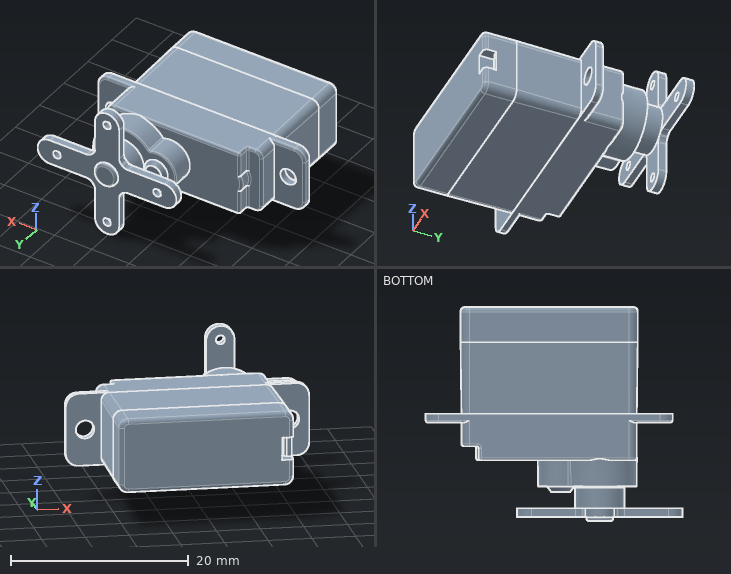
import cadquery as cq
import math


case_length = 19.97
case_width = 8.62
case_center_x = -5.7
corner_radius = 1.0
draft_inset = 0.1
bottom_y = -12.0
cover_top_y = -8.02
ledge_y = 3.68
case_top_y = 5.27
boss_top_y = 8.22
cover_edge_radius = 0.52

notch_length = 1.35
notch_width = 2.6
notch_depth = 1.5
trough_width = 0.52
trough_depth = 0.25

flange_length = 27.85
flange_thickness = 1.0
flange_corner_radius = 1.45
flange_hole_diameter = 2.08
flange_hole_spacing = 23.45
edge_radius = 0.3
step_length = 1.95
step_inner_radius = 0.2
rib_half_width = 1.05
rib_height = 0.3

main_boss_radius = 4.17
idler_boss_radius = 2.58
idler_x = -4.4
boss_taper = 0.5
boss_edge_radius = 0.15
neck_radius = 0.3
cone_base_radius = 1.53
cone_top_radius = 1.07
cone_height = 0.6

shaft_radius = 1.97
hub_radius = 2.8
hub_gap = 0.12
hub_height = 2.3
horn_thickness = 1.0
long_arm = 9.32
short_arm = 8.33
arm_width = 3.25
arm_fillet = 1.0
arm_hole_diameter = 1.0
arm_hole_offset = 6.7
screw_radius = 1.5
screw_projection = 0.45
screw_edge_radius = 0.3

upper_length = case_length - 2 * draft_inset
upper_width = case_width - 2 * draft_inset
upper_radius = corner_radius - draft_inset
upper_left_x = case_center_x - upper_length / 2
cover_right_x = case_center_x + case_length / 2
step_wall_x = upper_left_x + step_length
hub_bottom_y = boss_top_y + hub_gap
horn_bottom_y = hub_bottom_y + hub_height
horn_top_y = horn_bottom_y + horn_thickness
screw_top_y = horn_top_y + screw_projection


def plane_at(y, x=0):
    """Work plane at height y whose normal is +Y and whose local axes are X and -Z."""
    return cq.Workplane(cq.Plane(origin=(x, y, 0), xDir=(1, 0, 0), normal=(0, 1, 0)))


def disc(radius, y_low, y_high, x=0):
    """Cylinder along Y between two levels."""
    return plane_at(y_low, x).circle(radius).extrude(y_high - y_low)


def rounded_block(length, width, radius, y_low, y_high):
    """Block centred on the case with rounded edges along Y."""
    block = plane_at(y_low, case_center_x).rect(length, width).extrude(y_high - y_low)
    return block.edges("|Y").fillet(radius)


def box_between(x_range, y_range, width):
    """Box spanning the given X and Y ranges, centred on Z = 0."""
    length = x_range[1] - x_range[0]
    return plane_at(y_range[0], sum(x_range) / 2).rect(length, width).extrude(y_range[1] - y_range[0])


def make_cover():
    """Bottom cover with a wire notch at its +X end; the notch floor drops into a sloped trough."""
    cover = rounded_block(case_length, case_width, corner_radius, bottom_y, cover_top_y)
    cover = cover.faces("<Y").edges().fillet(cover_edge_radius)
    left = cover_right_x - notch_length
    floor = bottom_y + notch_depth
    notch = (
        cq.Workplane("XY")
        .moveTo(left, bottom_y)
        .lineTo(cover_right_x, bottom_y)
        .lineTo(cover_right_x, floor)
        .lineTo(left + trough_width + trough_depth, floor)
        .lineTo(left + trough_width, floor + trough_depth)
        .lineTo(left, floor + trough_depth)
        .close()
        .extrude(notch_width / 2, both=True)
    )
    return cover.cut(notch)


def make_middle_case():
    """Drafted block that shrinks from the cover outline to the top case outline."""
    height = -cover_top_y
    outline = plane_at(cover_top_y, case_center_x).sketch().rect(case_length, case_width)
    outline = outline.vertices().fillet(corner_radius).finalize()
    return outline.extrude(height, taper=math.degrees(math.atan(draft_inset / height)))


def make_rib():
    """Bulge of part-circular section on the step wall, rounded on top and flared at the ledge."""
    radius = (rib_half_width**2 + rib_height**2) / (2 * rib_height)
    axis_x = step_wall_x - rib_height + radius
    front_x = axis_x - radius
    post = (
        cq.Workplane("XY")
        .moveTo(axis_x, ledge_y)
        .lineTo(front_x - step_inner_radius, ledge_y)
        .radiusArc((front_x, ledge_y + step_inner_radius), -step_inner_radius)
        .lineTo(front_x, case_top_y - edge_radius)
        .radiusArc((front_x + edge_radius, case_top_y), edge_radius)
        .lineTo(axis_x, case_top_y)
        .close()
        .revolve(360, (axis_x, 0, 0), (axis_x, 1, 0))
    )
    rib_zone = box_between(
        (upper_left_x, step_wall_x + edge_radius), (ledge_y, case_top_y), 2 * rib_half_width
    )
    return post.intersect(rib_zone)


def make_upper_block():
    """Top case without flange or bosses, stepped down at its -X end."""
    block = rounded_block(upper_length, upper_width, upper_radius, 0, case_top_y)
    step = box_between((upper_left_x, step_wall_x), (ledge_y, case_top_y), upper_width)
    inner_edge = step.edges("|Z and >X and <Y")
    block = block.cut(inner_edge.fillet(step_inner_radius))
    ledge_edge = block.edges(cq.selectors.NearestToPointSelector((upper_left_x, ledge_y, 0)))
    block = block.faces(">Y").edges().add(ledge_edge).fillet(edge_radius)
    return block.union(make_rib())


def make_flange():
    flange = rounded_block(flange_length, upper_width, flange_corner_radius, 0, flange_thickness)
    flange = flange.faces(">Y").edges().fillet(edge_radius)
    holes = (
        plane_at(0, case_center_x)
        .rarray(flange_hole_spacing, 0.3, 2, 1)
        .circle(flange_hole_diameter / 2)
        .extrude(flange_thickness)
    )
    return flange.cut(holes)


def make_bosses():
    """Merged main and idler bosses, rooted below the rounded top edge of the case."""
    height = boss_top_y - case_top_y + edge_radius
    growth = height * math.tan(math.radians(boss_taper))
    outline = (
        cq.Sketch()
        .circle(main_boss_radius + growth)
        .push([(idler_x, 0)])
        .circle(idler_boss_radius + growth)
        .reset()
        .clean()
        .vertices()
        .fillet(neck_radius)
    )
    bosses = plane_at(case_top_y - edge_radius).placeSketch(outline).extrude(height, taper=boss_taper)
    return bosses.faces(">Y").edges().fillet(boss_edge_radius)


def make_cone():
    profile = [
        (idler_x, boss_top_y),
        (idler_x + cone_base_radius, boss_top_y),
        (idler_x + cone_top_radius, boss_top_y + cone_height),
        (idler_x, boss_top_y + cone_height),
    ]
    cone = cq.Workplane("XY").polyline(profile).close()
    return cone.revolve(360, (idler_x, 0, 0), (idler_x, 1, 0))


def make_top_case():
    return make_upper_block().union(make_flange()).union(make_bosses()).union(make_cone())


def make_output_shaft():
    return disc(shaft_radius, boss_top_y, horn_bottom_y)


def make_horn():
    """Four-arm plate on a hub, with a socket for the shaft and a hole for the screw."""
    plate = plane_at(horn_bottom_y).circle(hub_radius).extrude(horn_thickness)
    for reach, angle in ((long_arm, 0), (short_arm, 90)):
        arms = plane_at(horn_bottom_y).slot2D(2 * reach, arm_width, angle).extrude(horn_thickness)
        plate = plate.union(arms)
    centre_zone = cq.selectors.BoxSelector(
        (-hub_radius, horn_bottom_y, -hub_radius), (hub_radius, horn_top_y, hub_radius)
    )
    plate = plate.edges(centre_zone).edges("|Y").fillet(arm_fillet)
    holes = (
        plane_at(horn_bottom_y)
        .polarArray(arm_hole_offset, 0, 360, 4)
        .circle(arm_hole_diameter / 2)
        .extrude(horn_thickness)
    )
    horn = plate.cut(holes).union(disc(hub_radius, hub_bottom_y, horn_bottom_y))
    shaft_socket = disc(shaft_radius, hub_bottom_y, horn_bottom_y)
    screw_hole = disc(screw_radius, horn_bottom_y, horn_top_y)
    return horn.cut(shaft_socket).cut(screw_hole)


def make_screw():
    screw = disc(screw_radius, horn_bottom_y, screw_top_y)
    return screw.faces(">Y").edges().fillet(screw_edge_radius)


cover = make_cover()
middle_case = make_middle_case()
top_case = make_top_case()
output_shaft = make_output_shaft()
horn = make_horn()
screw = make_screw()

result = cq.Compound.makeCompound(
    [cover.val(), middle_case.val(), top_case.val(), output_shaft.val(), horn.val(), screw.val()]
)